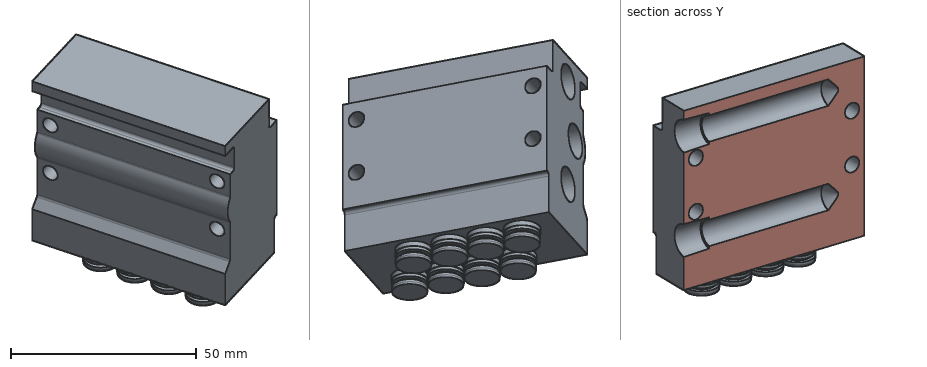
import cadquery as cq
import math

LENGTH = 59.5
HEIGHT = 53.5
BACK_Y = 28.5
TOP_BACK_Y = 24.2
FOOT_BACK_Y = 27.1
GROOVE_Y = 5.0
FACE_Y = 2.8
LIP_Z = HEIGHT - 3.35
GROOVE_Z = HEIGHT - 11.3
BACK_STEP_Z = HEIGHT - 9.9
FOOT_STEP_Z = 11.9
SLOPE_Z = 10.55
CORNER_RADIUS = 0.9
BULGE_BLEND_RADIUS = 0.6

PORT_SPACING = 15.5
SUPPLY_Y = 8.5
SUPPLY_Z = HEIGHT - 23.15
EXHAUST_Y = 13.6
PORT_CENTERS = [
    (EXHAUST_Y, SUPPLY_Z + PORT_SPACING),
    (SUPPLY_Y, SUPPLY_Z),
    (EXHAUST_Y, SUPPLY_Z - PORT_SPACING),
]
PORT_RADIUS = 4.9
PORT_DEPTH = 8.35
PORT_TAPER = 1 / 16
BORE_RADIUS = 3.9
BORE_DEPTH = 47.6
DRILL_ANGLE = 90.0
BULGE_RADIUS = 7.1

MOUNT_DIAMETER = 4.5
MOUNT_SPACING_X = 51.4
MOUNT_SPACING_Z = 16.0
MOUNT_CENTER_Z = SUPPLY_Z

FITTING_COUNT = 4
FITTING_PITCH = 10.55
ROW_STAGGER = 7.0
FRONT_ROW_Y = 6.55
BACK_ROW_Y = 20.7
COLLAR_RADIUS = 5.0
RELEASE_RADIUS = 4.9
NECK_RADIUS = 3.7
COLLAR_BOTTOM = -1.4
NECK_TOP = -2.4
FLANGE_TOP = -3.35
FITTING_BOTTOM = -4.7
FLANGE_TAPER_TOP = -4.0
FLANGE_END_RADIUS = 4.75


def block_profile():
    """Closed cross-section of the block in the YZ plane."""
    half_chord = math.sqrt(BULGE_RADIUS**2 - (SUPPLY_Y - FACE_Y)**2)
    return (
        cq.Workplane("YZ", origin=(-LENGTH / 2, 0, 0))
        .moveTo(0, 0)
        .lineTo(0, SLOPE_Z)
        .lineTo(FACE_Y, SLOPE_Z + FACE_Y)
        .lineTo(FACE_Y, SUPPLY_Z - half_chord)
        .threePointArc((SUPPLY_Y - BULGE_RADIUS, SUPPLY_Z), (FACE_Y, SUPPLY_Z + half_chord))
        .lineTo(FACE_Y, GROOVE_Z)
        .lineTo(GROOVE_Y, GROOVE_Z)
        .lineTo(GROOVE_Y, LIP_Z)
        .lineTo(0, LIP_Z)
        .lineTo(0, HEIGHT)
        .lineTo(TOP_BACK_Y, HEIGHT)
        .lineTo(TOP_BACK_Y, BACK_STEP_Z)
        .lineTo(BACK_Y, BACK_STEP_Z)
        .lineTo(BACK_Y, FOOT_STEP_Z)
        .lineTo(FOOT_BACK_Y, FOOT_STEP_Z)
        .lineTo(FOOT_BACK_Y, 0)
        .close()
    )


def edges_at(block, y, heights):
    """Edges along X that lie at depth y and at any of the given heights."""
    tolerance = 0.05
    selected = []
    for edge in block.edges("|X").vals():
        center = edge.Center()
        if abs(center.y - y) < tolerance and any(abs(center.z - z) < tolerance for z in heights):
            selected.append(edge)
    return block.newObject(selected)


def round_inside_corners(block):
    half_chord = math.sqrt(BULGE_RADIUS**2 - (SUPPLY_Y - FACE_Y)**2)
    bulge_heights = [SUPPLY_Z - half_chord, SUPPLY_Z + half_chord]
    block = edges_at(block, GROOVE_Y, [GROOVE_Z, LIP_Z]).fillet(CORNER_RADIUS)
    block = edges_at(block, TOP_BACK_Y, [BACK_STEP_Z]).fillet(CORNER_RADIUS)
    block = edges_at(block, FOOT_BACK_Y, [FOOT_STEP_Z]).fillet(CORNER_RADIUS)
    block = edges_at(block, FACE_Y, [SLOPE_Z + FACE_Y]).fillet(CORNER_RADIUS)
    return edges_at(block, FACE_Y, bulge_heights).fillet(BULGE_BLEND_RADIUS)


def port_cutter(y, z):
    """Tapered thread hole, narrower bore and drill point, entering from the -X face."""
    thread_end_radius = PORT_RADIUS - PORT_DEPTH * PORT_TAPER / 2
    point_depth = BORE_DEPTH + BORE_RADIUS / math.tan(math.radians(DRILL_ANGLE / 2))
    half_section = (
        cq.Workplane("XY", origin=(-LENGTH / 2, y, z))
        .moveTo(0, 0)
        .lineTo(0, PORT_RADIUS)
        .lineTo(PORT_DEPTH, thread_end_radius)
        .lineTo(PORT_DEPTH, BORE_RADIUS)
        .lineTo(BORE_DEPTH, BORE_RADIUS)
        .lineTo(point_depth, 0)
        .close()
    )
    return half_section.revolve(360, (0, 0, 0), (1, 0, 0))


def mounting_hole_cutter():
    return (
        cq.Workplane("XZ", origin=(0, 0, MOUNT_CENTER_Z))
        .rarray(MOUNT_SPACING_X, MOUNT_SPACING_Z, 2, 2)
        .circle(MOUNT_DIAMETER / 2)
        .extrude(-BACK_Y)
    )


def make_block():
    block = round_inside_corners(block_profile().extrude(LENGTH))
    for y, z in PORT_CENTERS:
        block = block.cut(port_cutter(y, z))
    return block.cut(mounting_hole_cutter())


def make_fitting(x, y):
    """Stepped collar, neck and tapered-edge release flange, seated on the underside."""
    half_section = (
        cq.Workplane("XZ", origin=(x, y, 0))
        .moveTo(0, 0)
        .lineTo(COLLAR_RADIUS, 0)
        .lineTo(COLLAR_RADIUS, COLLAR_BOTTOM)
        .lineTo(RELEASE_RADIUS, COLLAR_BOTTOM)
        .lineTo(RELEASE_RADIUS, NECK_TOP)
        .lineTo(NECK_RADIUS, NECK_TOP)
        .lineTo(NECK_RADIUS, FLANGE_TOP)
        .lineTo(RELEASE_RADIUS, FLANGE_TOP)
        .lineTo(RELEASE_RADIUS, FLANGE_TAPER_TOP)
        .lineTo(FLANGE_END_RADIUS, FITTING_BOTTOM)
        .lineTo(0, FITTING_BOTTOM)
        .close()
    )
    return half_section.revolve(360, (0, 0, 0), (0, 1, 0))


def make_fittings():
    """Two staggered rows of fittings: the front row to the right, the back row to the left."""
    fittings = []
    for y, row_center in [(FRONT_ROW_Y, ROW_STAGGER / 2), (BACK_ROW_Y, -ROW_STAGGER / 2)]:
        for index in range(FITTING_COUNT):
            x = row_center + (index - (FITTING_COUNT - 1) / 2) * FITTING_PITCH
            fittings.append(make_fitting(x, y))
    return fittings


block = make_block()
fittings = make_fittings()

result = cq.Compound.makeCompound([block.val(), *[fitting.val() for fitting in fittings]])